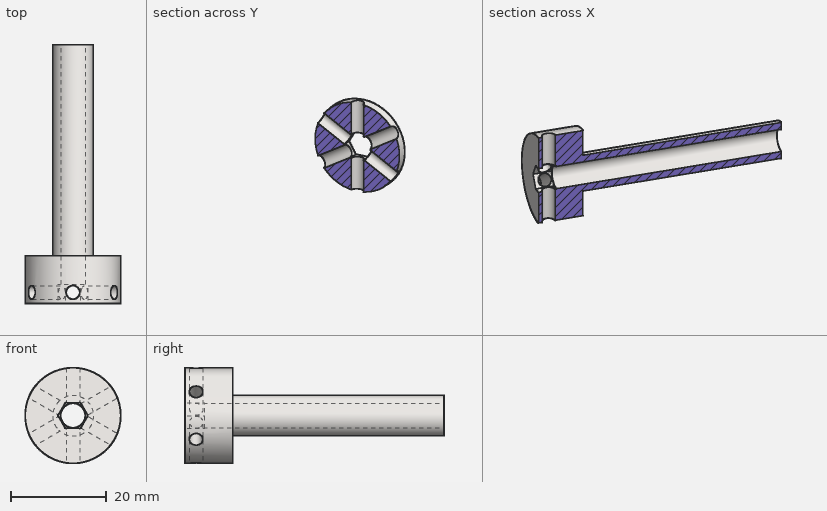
import cadquery as cq
import math

total_length = 54.0
head_diameter = 20.0
head_length = 10.0
shank_diameter = 8.5
bore_diameter = 5.1
hex_across_flats = 5.4
hex_depth = 4.0
radial_hole_diameter = 2.8
radial_hole_setback = 2.3
radial_hole_count = 6

hex_across_corners = hex_across_flats / math.cos(math.pi / 6)
radial_hole_spacing = 360 / radial_hole_count


def face_sketch():
    """Workplane on the head face at Y = 0, with its normal pointing along +Y."""
    return cq.Workplane("XZ").transformed(rotate=(180, 0, 0))


def make_body():
    """Round head with a coaxial shank running to the far end."""
    head = face_sketch().circle(head_diameter / 2).extrude(head_length)
    shank = face_sketch().circle(shank_diameter / 2).extrude(total_length)
    return head.union(shank)


def make_bore():
    """Round bore through the full length."""
    return face_sketch().circle(bore_diameter / 2).extrude(total_length)


def make_hex_socket():
    """Hexagonal socket in the head face, with corners on the X axis."""
    return face_sketch().polygon(6, hex_across_corners).extrude(hex_depth)


def make_radial_hole(index):
    """Hole from the axis out through the head rim; the first points along +Z."""
    hole = (
        cq.Workplane("XY", origin=(0, radial_hole_setback, 0))
        .circle(radial_hole_diameter / 2)
        .extrude(head_diameter)
    )
    return hole.rotate((0, 0, 0), (0, 1, 0), index * radial_hole_spacing)


result = make_body().cut(make_bore()).cut(make_hex_socket())
for hole_index in range(radial_hole_count):
    result = result.cut(make_radial_hole(hole_index))